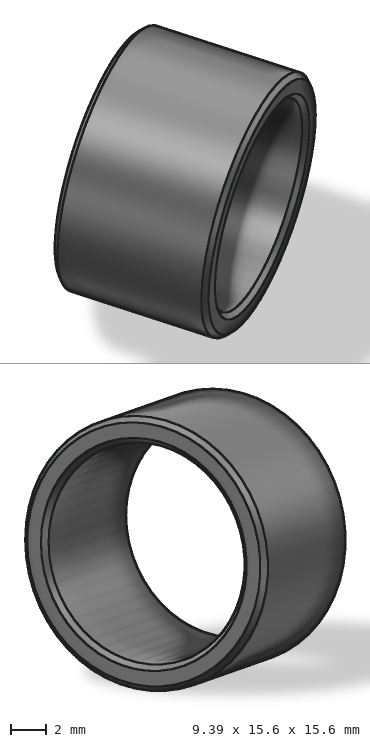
import cadquery as cq

length = 9.39
outer_diameter = 15.62
bore_diameter = 12.6
chamfer = 0.31

sleeve = (
    cq.Workplane("YZ", origin=(-length / 2, 0, 0))
    .circle(outer_diameter / 2)
    .circle(bore_diameter / 2)
    .extrude(length)
)

result = sleeve.faces("<X or >X").edges().chamfer(chamfer)